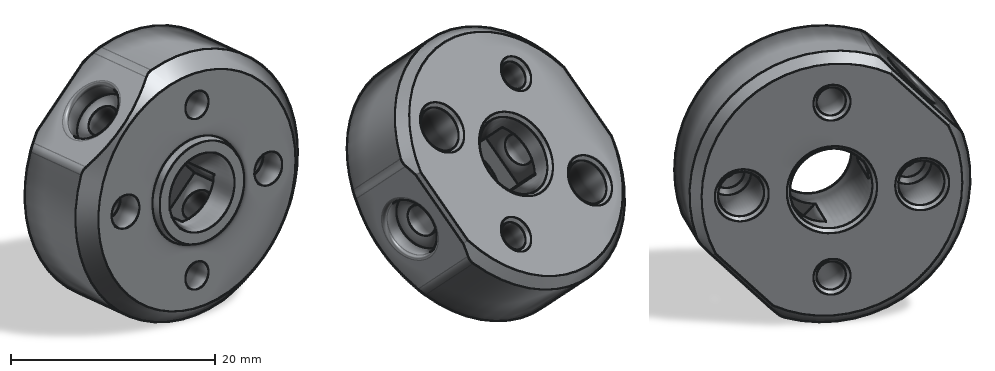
import cadquery as cq
import math

disc_radius = 14.0
disc_width = 10.53
front_chamfer = 1.0
back_chamfer = 1.6

boss_base_radius = 5.6
boss_tip_radius = 5.32
boss_height = 0.78

flat_distance = 12.75
flat_blend_radius = 2.0
flat_chamfer = 0.4

bore_diameter = 8.2
hole_circle_radius = 9.0
small_hole_diameter = 2.9
large_hole_diameter = 3.5
large_recess_diameter = 4.6
large_recess_depth = 7.0
hole_chamfer = 0.4

screw_hole_diameter = 3.3
screw_head_diameter = 6.0
screw_head_depth = 2.0
screw_rim_radius = 0.4
nut_width = 5.65
nut_seat_distance = 6.0


def flat_plane(side, distance):
    """Plane parallel to a flat, its local X along part X and its normal pointing outward."""
    step = side / math.sqrt(2)
    origin = (disc_width / 2, -step * distance, step * distance)
    return cq.Plane(origin=origin, xDir=(1, 0, 0), normal=(0, -step, step))


def make_body():
    profile = [
        (0, 0),
        (0, disc_radius - front_chamfer),
        (front_chamfer, disc_radius),
        (disc_width - back_chamfer, disc_radius),
        (disc_width, disc_radius - back_chamfer),
        (disc_width, boss_base_radius),
        (disc_width + boss_height, boss_tip_radius),
        (disc_width + boss_height, 0),
    ]
    return cq.Workplane("XY").polyline(profile).close().revolve(360, (0, 0, 0), (1, 0, 0))


def make_flatted_blank():
    """Cylinder with two flats, blended into the round and chamfered at the X = 0 face."""
    blank = cq.Workplane("YZ").circle(disc_radius).extrude(disc_width + boss_height)
    for side in (1, -1):
        cutter = cq.Workplane(flat_plane(side, flat_distance))
        blank = blank.cut(cutter.rect(2 * disc_radius, 2 * disc_radius).extrude(disc_radius))
    half_flat = math.sqrt(disc_radius**2 - flat_distance**2)
    for side in (1, -1):
        for end in (1, -1):
            corner_point = flat_plane(side, flat_distance).toWorldCoords((0, end * half_flat, 0))
            corner = cq.selectors.NearestToPointSelector(corner_point.toTuple())
            blank = blank.edges("|X").edges(corner).fillet(flat_blend_radius)
    for side in (1, -1):
        bevel = (
            cq.Workplane("XY")
            .polyline([(0, flat_distance - flat_chamfer), (0, flat_distance), (flat_chamfer, flat_distance)])
            .close()
            .extrude(disc_radius, both=True)
            .rotate((0, 0, 0), (1, 0, 0), 45 + 90 * side)
        )
        blank = blank.cut(bevel)
    return blank


def axial_hole(diameter, y, z):
    """Hole along X from the X = 0 face, with a chamfered mouth."""
    radius = diameter / 2
    depth = disc_width + boss_height
    profile = [(0, 0), (0, radius + hole_chamfer), (hole_chamfer, radius), (depth, radius), (depth, 0)]
    hole = cq.Workplane("XY").polyline(profile).close().revolve(360, (0, 0, 0), (1, 0, 0))
    return hole.translate((0, y, z))


def recessed_hole(y):
    """Through hole with a wider recess whose conical floor leads into it."""
    recess_radius = large_recess_diameter / 2
    hole_radius = large_hole_diameter / 2
    end = disc_width + boss_height
    profile = [
        (0, 0),
        (0, recess_radius + hole_chamfer),
        (hole_chamfer, recess_radius),
        (large_recess_depth, recess_radius),
        (large_recess_depth + recess_radius - hole_radius, hole_radius),
        (end, hole_radius),
        (end, 0),
    ]
    hole = cq.Workplane("XY").polyline(profile).close().revolve(360, (0, 0, 0), (1, 0, 0))
    return hole.translate((0, y, 0))


def screw_seat(side):
    """Rounded screw-head recess, clearance hole and nut pocket behind one flat."""
    head_radius = screw_head_diameter / 2
    rim_radius = head_radius + screw_rim_radius
    bend = screw_rim_radius * (1 - math.sqrt(0.5))
    head = (
        cq.Workplane("XZ")
        .lineTo(rim_radius, 0)
        .threePointArc((head_radius + bend, -bend), (head_radius, -screw_rim_radius))
        .lineTo(head_radius, -screw_head_depth)
        .lineTo(0, -screw_head_depth)
        .close()
        .revolve(360, (0, 0, 0), (0, 1, 0))
    )
    head = head.val().moved(cq.Location(flat_plane(side, flat_distance)))
    axis = cq.Workplane(flat_plane(side, 0))
    hole = axis.circle(screw_hole_diameter / 2).extrude(flat_distance)
    pocket = axis.rect(nut_width, nut_width).extrude(nut_seat_distance)
    return hole.union(pocket).union(cq.Workplane(head))


result = make_body().intersect(make_flatted_blank())
result = result.cut(axial_hole(bore_diameter, 0, 0))
for side in (1, -1):
    result = result.cut(axial_hole(small_hole_diameter, 0, side * hole_circle_radius))
    result = result.cut(recessed_hole(side * hole_circle_radius))
    result = result.cut(screw_seat(side))